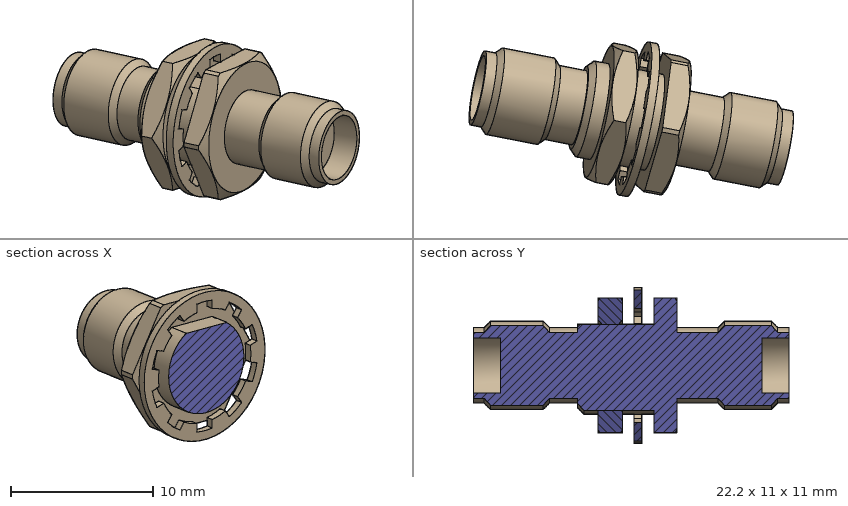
import cadquery as cq
import math


length = 22.22
neck_radius = 2.67
sleeve_radius = 3.1
sleeve_bevel = sleeve_radius - neck_radius
left_sleeve_start = 0.75
left_sleeve_end = 5.35
right_sleeve_start = 17.22
right_sleeve_end = 21.42
thread_start = 7.3
thread_radius = 3.45
thread_bevel = 0.47
thread_flat_height = 2.9
socket_radius = 2.3
socket_depth = 1.89

across_flats = 9.5
hex_corner_radius = across_flats / math.sqrt(3)
bevel_face_radius = 4.7
bevel_slope = math.tan(math.radians(30))

collar_start = 12.7
collar_end = 14.33
collar_radius = 5.4

nut_start = 8.75
nut_end = 10.5
nut_blank_radius = hex_corner_radius + 0.1
nut_bore_radius = 2.89
nut_countersink = thread_radius - nut_bore_radius

washer_start = 11.29
washer_end = 11.87
washer_radius = 5.5
tooth_tip_radius = 4.2
tooth_root_radius = 4.82
tooth_count = 10
tooth_gap_width = 1.38


def cylinder(radius, start, end):
    """Solid cylinder along X from x = start to x = end."""
    return cq.Workplane("YZ", origin=(start, 0, 0)).circle(radius).extrude(end - start)


def turned(profile):
    """Solid of revolution about X from (x, radius) points that start and end on the axis."""
    return cq.Workplane("XY").polyline(profile).close().revolve(360, (0, 0, 0), (1, 0, 0))


def hexagon(start, end):
    """Hexagonal prism along X with flats facing +Z and -Z and corners toward +Y and -Y."""
    return (
        cq.Workplane("YZ", origin=(start, 0, 0))
        .polygon(6, 2 * hex_corner_radius)
        .extrude(end - start)
    )


def bevel_run(blank_radius):
    """Length along X of the cone between the end face circle and the blank radius."""
    return (blank_radius - bevel_face_radius) * bevel_slope


def make_sleeve(start, end):
    """Raised sleeve, bevelled down to the neck at both ends."""
    return turned([
        (start, 0),
        (start, neck_radius),
        (start + sleeve_bevel, sleeve_radius),
        (end - sleeve_bevel, sleeve_radius),
        (end, neck_radius),
        (end, 0),
    ])


def make_thread():
    """Plain thread cylinder with a bevelled left end and one flat on top."""
    thread = turned([
        (thread_start, 0),
        (thread_start, thread_radius - thread_bevel),
        (thread_start + thread_bevel, thread_radius),
        (collar_start, thread_radius),
        (collar_start, 0),
    ])
    above_flat = cq.Workplane("XY", origin=(0, 0, thread_flat_height)).box(
        collar_start, 2 * thread_radius, thread_radius, centered=(False, True, False)
    )
    return thread.cut(above_flat)


def make_collar():
    """Hexagonal collar, turned to a cylinder at its corners and bevelled on its right face."""
    blank = turned([
        (collar_start, 0),
        (collar_start, collar_radius),
        (collar_end - bevel_run(collar_radius), collar_radius),
        (collar_end, bevel_face_radius),
        (collar_end, 0),
    ])
    return hexagon(collar_start, collar_end).intersect(blank)


def make_connector():
    body = cylinder(neck_radius, 0, length)
    body = body.union(make_sleeve(left_sleeve_start, left_sleeve_end))
    body = body.union(make_sleeve(right_sleeve_start, right_sleeve_end))
    body = body.union(make_thread()).union(make_collar())
    left_socket = cylinder(socket_radius, 0, socket_depth)
    right_socket = cylinder(socket_radius, length - socket_depth, length)
    return body.cut(left_socket).cut(right_socket)


def make_nut(connector_body):
    """Nut bevelled on both faces, with a countersunk bore that fits the thread and its flat."""
    run = bevel_run(nut_blank_radius)
    blank = turned([
        (nut_start, 0),
        (nut_start, bevel_face_radius),
        (nut_start + run, nut_blank_radius),
        (nut_end - run, nut_blank_radius),
        (nut_end, bevel_face_radius),
        (nut_end, 0),
    ])
    bore = turned([
        (nut_start, 0),
        (nut_start, thread_radius),
        (nut_start + nut_countersink, nut_bore_radius),
        (nut_end - nut_countersink, nut_bore_radius),
        (nut_end, thread_radius),
        (nut_end, 0),
    ])
    return hexagon(nut_start, nut_end).intersect(blank).cut(bore).cut(connector_body)


def make_washer():
    """Flat ring with inward teeth separated by parallel-sided gaps, one gap at the top."""
    thickness = washer_end - washer_start
    washer = cylinder(washer_radius, washer_start, washer_end)
    washer = washer.cut(cylinder(tooth_tip_radius, washer_start, washer_end))
    root_disc = cylinder(tooth_root_radius, washer_start, washer_end)
    gap = cq.Workplane("XY", origin=(washer_start, 0, 0)).box(
        thickness, tooth_gap_width, washer_radius, centered=(False, True, False)
    )
    gap = gap.intersect(root_disc)
    for index in range(tooth_count):
        angle = index * 360 / tooth_count
        washer = washer.cut(gap.rotate((0, 0, 0), (1, 0, 0), angle))
    return washer


connector = make_connector()
nut = make_nut(connector)
washer = make_washer()

result = cq.Compound.makeCompound([body.solids().val() for body in (connector, nut, washer)])